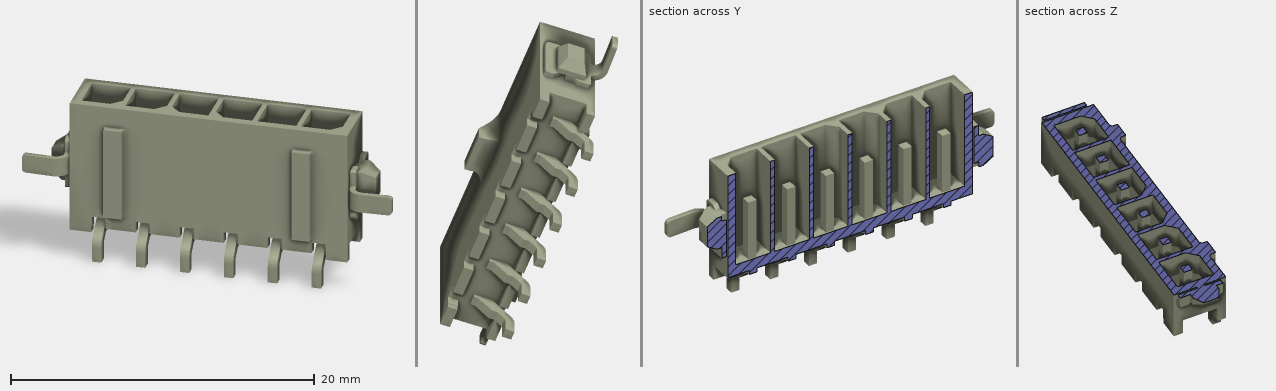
import cadquery as cq
import math

CONTACT_COUNT = 6
PITCH = 3.0
OVERALL_LENGTH = 25.25

BODY_LENGTH = 18.95
BODY_DEPTH = 3.87
BODY_HEIGHT = 9.27
HALF_LENGTH = BODY_LENGTH / 2
HALF_DEPTH = BODY_DEPTH / 2

CHANNEL_BACK_Y = 1.25
CHANNEL_FRONT_Y = -1.33
CHANNEL_HEIGHT = 1.14
SKIRT_LIFT = 0.365
SKIRT_LENGTH = 16.02
NOTCH_WIDTH = 0.94

CAVITY_SIZE = 2.66
CAVITY_FLOOR = 2.0
CAVITY_CHAMFER = 0.68
CAVITY_KEYS = (1, 1, -1, -1, 0, 1)

PIN_WIDTH = 0.64
PIN_TOP = 6.5
TAIL_TIP_Z = -1.89
TAIL_FRONT_Y = -2.445
TAIL_BEND_RADIUS = 0.9
TAIL_SLOPE_TOP = 2.0
SHOULDER_SLOPE = 0.705
SHOULDER_BACK_Y = 0.42
SHOULDER_BACK_Z = 0.82
SHOULDER_BOTTOM_Z = -0.155

RIB_SPACING = 12.84
RIB_WIDTH = 1.25
RIB_FRONT_Y = TAIL_FRONT_Y
RIB_FILLET = 0.23
RIB_BOTTOM = 1.43
RIB_TOP = 7.85

RAMP_WIDTH = 2.7
RAMP_BACK_Y = 3.225
RAMP_FILLET = 0.62
RAMP_NOSE_TOP = 7.37
RAMP_NOSE_BOTTOM = 6.31
RAMP_LIP_LENGTH = 0.35
RAMP_RELIEF_Z = 6.39
RAMP_ROOT_Y = HALF_DEPTH + RAMP_FILLET
RAMP_ROOT_Z = 5.9

CLIP_CENTRE_Z = 4.67
CLIP_GAP = 0.075
CLIP_THICKNESS = 0.375
CLIP_INNER_X = HALF_LENGTH + CLIP_GAP
CLIP_OUTER_X = CLIP_INNER_X + CLIP_THICKNESS
PLATE_BACK_Y = 1.7
PLATE_FRONT_Y = -1.49
PLATE_BOTTOM = 2.83
PLATE_TOP = 6.46
PLATE_CORNER_RADIUS = 0.38
PLATE_FOOT_CHAMFER = 0.1
SLOT_BACK_Y = 0.25
SLOT_FRONT_Y = -0.34
MOUTH_BACK_Y = 1.1
MOUTH_FRONT_Y = -0.68
MOUTH_BACK_RISE = 0.8
MOUTH_FRONT_RISE = 0.3
TAB_WIDTH = 1.29
TAB_BEND_RADIUS = 0.58
TAB_TILT = 2.0
TAB_TIP_RADIUS = 0.25
TAB_ROOT_FILLET = 0.16

STUD_OFFSET_Z = -0.3
STUD_CENTRE_Y = -0.03
STUD_WIDTH = 1.96
STUD_HEIGHT = 2.52
STUD_LAND_X = 10.29
STUD_TIP_X = 11.06
STUD_TIP_WIDTH = 1.13
STUD_TIP_HEIGHT = 1.6

DIAGONAL = math.sqrt(0.5)
CONTACT_XS = [(i - (CONTACT_COUNT - 1) / 2) * PITCH for i in range(CONTACT_COUNT)]


def block(x0, x1, y0, y1, z0, z1):
    """Axis-aligned box between two opposite corners."""
    return cq.Workplane("XY").box(x1 - x0, y1 - y0, z1 - z0, centered=False).translate((x0, y0, z0))


def cavity(x, key):
    """Square contact cavity, open at the top, with an optional keyed corner."""
    half = CAVITY_SIZE / 2
    pocket = block(x - half, x + half, -half, half, CAVITY_FLOOR, BODY_HEIGHT)
    if key:
        side = ">X" if key > 0 else "<X"
        pocket = pocket.edges("|Z").edges("<Y").edges(side).chamfer(CAVITY_CHAMFER)
    return pocket


def housing():
    body = block(-HALF_LENGTH, HALF_LENGTH, -HALF_DEPTH, HALF_DEPTH, 0, BODY_HEIGHT)
    body = body.cut(block(-HALF_LENGTH, HALF_LENGTH, CHANNEL_FRONT_Y, CHANNEL_BACK_Y, 0, CHANNEL_HEIGHT))
    half_skirt = SKIRT_LENGTH / 2
    body = body.cut(block(-half_skirt, half_skirt, -HALF_DEPTH, HALF_DEPTH, 0, SKIRT_LIFT))
    half_notch = NOTCH_WIDTH / 2
    for x, key in zip(CONTACT_XS, CAVITY_KEYS):
        body = body.cut(block(x - half_notch, x + half_notch, -HALF_DEPTH, HALF_DEPTH, 0, CHANNEL_HEIGHT))
        body = body.cut(cavity(x, key))
    return body


def contact(x):
    """Square mating pin with a tail that slopes forward and then drops straight down."""
    half = PIN_WIDTH / 2
    pin = block(x - half, x + half, -half, half, CHANNEL_HEIGHT, PIN_TOP)

    half_bend = math.radians(45) / 2
    bend_end_z = TAIL_FRONT_Y + TAIL_SLOPE_TOP - TAIL_BEND_RADIUS * math.tan(half_bend)
    bend_centre_y = TAIL_FRONT_Y + TAIL_BEND_RADIUS
    bend_start_y = bend_centre_y - TAIL_BEND_RADIUS * DIAGONAL
    bend_mid = (
        bend_centre_y - TAIL_BEND_RADIUS * math.cos(half_bend),
        bend_end_z + TAIL_BEND_RADIUS * math.sin(half_bend),
    )
    tail_back_y = TAIL_FRONT_Y + PIN_WIDTH
    tail_slope_bottom = TAIL_SLOPE_TOP - PIN_WIDTH / DIAGONAL
    tail = (
        cq.Workplane("YZ")
        .moveTo(SHOULDER_BACK_Y, CHANNEL_HEIGHT)
        .lineTo(CHANNEL_HEIGHT - TAIL_SLOPE_TOP, CHANNEL_HEIGHT)
        .lineTo(bend_start_y, bend_start_y + TAIL_SLOPE_TOP)
        .threePointArc(bend_mid, (TAIL_FRONT_Y, bend_end_z))
        .lineTo(TAIL_FRONT_Y, TAIL_TIP_Z)
        .lineTo(tail_back_y, TAIL_TIP_Z)
        .lineTo(tail_back_y, tail_back_y + tail_slope_bottom)
        .lineTo(SHOULDER_BOTTOM_Z - tail_slope_bottom, SHOULDER_BOTTOM_Z)
        .lineTo(SHOULDER_BOTTOM_Z - SHOULDER_SLOPE, SHOULDER_BOTTOM_Z)
        .lineTo(SHOULDER_BACK_Z - SHOULDER_SLOPE, SHOULDER_BACK_Z)
        .lineTo(SHOULDER_BACK_Y, SHOULDER_BACK_Z)
        .close()
        .extrude(half, both=True)
        .translate((x, 0, 0))
    )
    return pin.union(tail)


def flared_profile(half_width, tip_y, wall_y, radius):
    """XY outline of a straight-sided pad that meets a wall through concave fillets."""
    outward = math.copysign(1, tip_y - wall_y)
    flare = half_width + radius
    fillet_y = wall_y + outward * radius
    inset = radius * (1 - DIAGONAL)
    mid_y = wall_y + outward * inset
    return (
        cq.Workplane("XY")
        .moveTo(-flare, wall_y)
        .threePointArc((-half_width - inset, mid_y), (-half_width, fillet_y))
        .lineTo(-half_width, tip_y)
        .lineTo(half_width, tip_y)
        .lineTo(half_width, fillet_y)
        .threePointArc((half_width + inset, mid_y), (flare, wall_y))
        .close()
    )


def front_rib(x):
    profile = flared_profile(RIB_WIDTH / 2, RIB_FRONT_Y, -HALF_DEPTH, RIB_FILLET)
    return profile.extrude(RIB_TOP - RIB_BOTTOM).translate((x, 0, RIB_BOTTOM))


def locking_ramp():
    """Wedge on the back wall: side flares from its plan outline, ramp from its side outline."""
    plan = flared_profile(RAMP_WIDTH / 2, RAMP_BACK_Y, HALF_DEPTH, RAMP_FILLET).extrude(BODY_HEIGHT)
    root_height = RAMP_RELIEF_Z - RAMP_ROOT_Z
    root_mid = (
        HALF_DEPTH + RAMP_FILLET * (1 - DIAGONAL),
        RAMP_ROOT_Z + root_height * DIAGONAL,
    )
    side = (
        cq.Workplane("YZ")
        .moveTo(HALF_DEPTH, BODY_HEIGHT)
        .lineTo(RAMP_BACK_Y, RAMP_NOSE_TOP)
        .lineTo(RAMP_BACK_Y, RAMP_NOSE_BOTTOM)
        .lineTo(RAMP_BACK_Y - RAMP_LIP_LENGTH, RAMP_NOSE_BOTTOM)
        .lineTo(RAMP_ROOT_Y, RAMP_RELIEF_Z)
        .threePointArc(root_mid, (HALF_DEPTH, RAMP_ROOT_Z))
        .close()
        .extrude(RAMP_WIDTH, both=True)
    )
    return plan.intersect(side)


def clip_plate():
    """Flat of the -X clip, slotted from below with a funnel mouth."""
    plate = block(-CLIP_OUTER_X, -CLIP_INNER_X, PLATE_FRONT_Y, PLATE_BACK_Y, PLATE_BOTTOM, PLATE_TOP)
    plate = plate.edges("|X and >Z").fillet(PLATE_CORNER_RADIUS)
    plate = plate.edges("|X and <Z").chamfer(PLATE_FOOT_CHAMFER)
    slot_top = CLIP_CENTRE_Z + STUD_OFFSET_Z + STUD_HEIGHT / 2
    slot = (
        cq.Workplane("YZ", origin=(-CLIP_OUTER_X, 0, 0))
        .polyline([
            (MOUTH_BACK_Y, PLATE_BOTTOM),
            (SLOT_BACK_Y, PLATE_BOTTOM + MOUTH_BACK_RISE),
            (SLOT_BACK_Y, slot_top),
            (SLOT_FRONT_Y, slot_top),
            (SLOT_FRONT_Y, PLATE_BOTTOM + MOUTH_FRONT_RISE),
            (MOUTH_FRONT_Y, PLATE_BOTTOM),
        ])
        .close()
        .extrude(CLIP_THICKNESS)
    )
    return plate.cut(slot)


def clip_tab():
    """Solder tab of the -X clip, bent outward from the front edge of the plate."""
    centre_x = -CLIP_OUTER_X - TAB_BEND_RADIUS
    outer_radius = TAB_BEND_RADIUS + CLIP_THICKNESS
    tip_x = -OVERALL_LENGTH / 2
    sweep = math.radians(90 + TAB_TILT)

    def on_bend(radius, angle):
        return (centre_x + radius * math.cos(angle), PLATE_FRONT_Y - radius * math.sin(angle))

    def at_tip(radius):
        end_x, end_y = on_bend(radius, sweep)
        return (tip_x, end_y + (end_x - tip_x) * math.tan(math.radians(TAB_TILT)))

    tab = (
        cq.Workplane("XY")
        .moveTo(*on_bend(TAB_BEND_RADIUS, 0))
        .threePointArc(on_bend(TAB_BEND_RADIUS, sweep / 2), on_bend(TAB_BEND_RADIUS, sweep))
        .lineTo(*at_tip(TAB_BEND_RADIUS))
        .lineTo(*at_tip(outer_radius))
        .lineTo(*on_bend(outer_radius, sweep))
        .threePointArc(on_bend(outer_radius, sweep / 2), on_bend(outer_radius, 0))
        .close()
        .extrude(TAB_WIDTH, both=True)
    )
    half_width = TAB_WIDTH / 2
    trim_y = PLATE_FRONT_Y - 2 * outer_radius
    trim = (
        flared_profile(half_width, trim_y, PLATE_FRONT_Y, TAB_ROOT_FILLET)
        .extrude(OVERALL_LENGTH, both=True)
        .rotate((0, 0, 0), (0, 1, 0), 90)
    )
    tab = tab.intersect(trim).faces("<X").edges("|Y").fillet(TAB_TIP_RADIUS)
    return tab.translate((0, 0, CLIP_CENTRE_Z))


def stud():
    """Tapered stud on the -X end, with a narrow neck filling the clip slot."""
    centre_z = CLIP_CENTRE_Z + STUD_OFFSET_Z
    half_height = STUD_HEIGHT / 2
    bottom = centre_z - half_height
    top = centre_z + half_height
    neck = block(-CLIP_OUTER_X, -HALF_LENGTH, SLOT_FRONT_Y, SLOT_BACK_Y, bottom, top)
    back_y = STUD_CENTRE_Y + STUD_WIDTH / 2
    front_y = STUD_CENTRE_Y - STUD_WIDTH / 2
    land = block(-STUD_LAND_X, -CLIP_OUTER_X, front_y, back_y, bottom, top)
    tip = (
        cq.Workplane("YZ", origin=(-STUD_LAND_X, STUD_CENTRE_Y, centre_z))
        .rect(STUD_WIDTH, STUD_HEIGHT)
        .workplane(offset=STUD_LAND_X - STUD_TIP_X)
        .rect(STUD_TIP_WIDTH, STUD_TIP_HEIGHT)
        .loft(ruled=True)
    )
    return neck.union(land).union(tip)


def end_fitting():
    return clip_plate().union(clip_tab()).union(stud())


result = housing().union(locking_ramp())
for rib_x in (-RIB_SPACING / 2, RIB_SPACING / 2):
    result = result.union(front_rib(rib_x))
for contact_x in CONTACT_XS:
    result = result.union(contact(contact_x))

left_end = end_fitting()
right_end = left_end.rotate((0, 0, CLIP_CENTRE_Z), (0, 1, CLIP_CENTRE_Z), 180)
result = result.union(left_end).union(right_end)